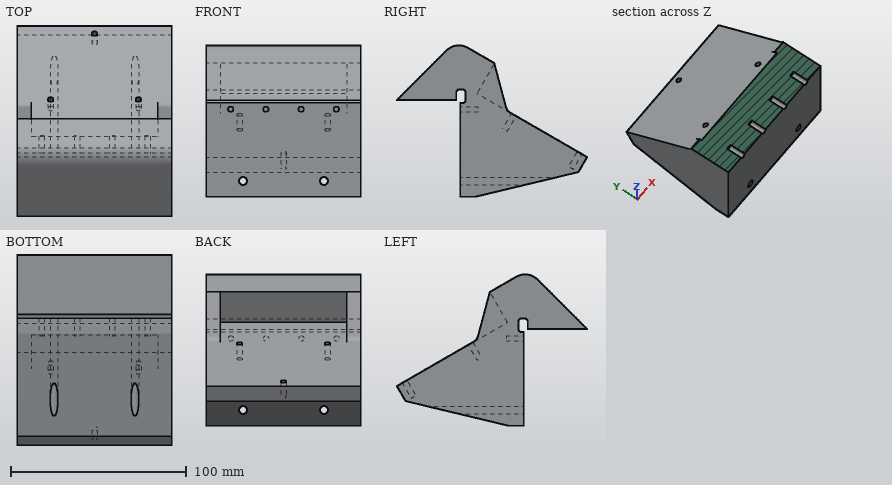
import cadquery as cq
import math

width = 88.0
overall_depth = 108.4
overall_height = 86.3
beak_reach = 36.1
beak_z = 55.0
base_back_y = 8.8
tail_y = overall_depth - beak_reach
tail_z = 22.6
tail_thickness = 10.0

rest_angle = math.radians(30)
stop_angle = math.radians(75)
beak_angle = math.radians(45)
stop_top_y = 19.4
stop_fillet = 5.0
crown_radius = 10.0

slot_back_y = 2.9
slot_front_y = -2.2
slot_bottom_z = 53.4
slot_top_z = 61.0
slot_corner_radius = 1.5

end_wall = 8.0

small_hole_diameter = 3.0
small_hole_depth = 10.0
front_hole_count = 4
front_hole_pitch = 20.0
front_hole_z = 49.8
mount_hole_diameter = 4.4
mount_hole_pitch = 46.0
mount_hole_z = 9.0
rest_hole_pitch = 50.0
tail_hole_y = 67.8
upper_hole_y = 30.3

crown_z = overall_height - crown_radius
beak_offset = crown_radius / math.cos(beak_angle)
crown_y = -beak_reach + (crown_z + beak_offset - beak_z) / math.tan(beak_angle)
crown_front = (
    crown_y - crown_radius * math.sin(beak_angle),
    crown_z + crown_radius * math.cos(beak_angle),
)
crown_back = (
    crown_y + crown_radius * math.sin(rest_angle),
    crown_z + crown_radius * math.cos(rest_angle),
)
stop_top_z = crown_back[1] - (stop_top_y - crown_back[0]) * math.tan(rest_angle)


def rest_z(y):
    """Height of the sloping rest plane at a given Y."""
    return tail_z + (tail_y - y) * math.tan(rest_angle)


stop_foot_y = stop_top_y + (stop_top_z - rest_z(stop_top_y)) / (
    math.tan(stop_angle) - math.tan(rest_angle)
)
stop_foot = (stop_foot_y, rest_z(stop_foot_y))
tail_bottom = (
    tail_y - tail_thickness * math.sin(rest_angle),
    tail_z - tail_thickness * math.cos(rest_angle),
)


def make_body():
    body = (
        cq.Workplane("YZ")
        .polyline([(0, 0), (0, beak_z), (-beak_reach, beak_z), crown_front])
        .threePointArc((crown_y, overall_height), crown_back)
        .lineTo(stop_top_y, stop_top_z)
        .lineTo(*stop_foot)
        .lineTo(tail_y, tail_z)
        .lineTo(*tail_bottom)
        .lineTo(base_back_y, 0)
        .close()
        .extrude(width / 2, both=True)
    )
    return body.edges(cq.NearestToPointSelector((0, *stop_foot))).fillet(stop_fillet)


def make_relief_slot():
    return (
        cq.Workplane("YZ")
        .center((slot_back_y + slot_front_y) / 2, (slot_bottom_z + slot_top_z) / 2)
        .rect(slot_back_y - slot_front_y, slot_top_z - slot_bottom_z)
        .extrude(width / 2, both=True)
        .edges("|X")
        .fillet(slot_corner_radius)
    )


def make_rest_pocket():
    drop = (stop_top_z - rest_z(stop_top_y)) * math.cos(rest_angle)
    inner_y = stop_top_y - drop * math.sin(rest_angle)
    return (
        cq.Workplane("YZ")
        .polyline([
            (stop_top_y, stop_top_z),
            (inner_y, rest_z(inner_y)),
            (tail_y, tail_z),
            (tail_y, stop_top_z),
        ])
        .close()
        .extrude(width / 2 - end_wall, both=True)
    )


def front_hole(x, z, diameter, depth):
    return cq.Workplane(
        cq.Solid.makeCylinder(diameter / 2, depth, cq.Vector(x, 0, z), cq.Vector(0, 1, 0))
    )


def rest_hole(x, y):
    into_rest = cq.Vector(0, -math.sin(rest_angle), -math.cos(rest_angle))
    start = cq.Vector(x, y, rest_z(y))
    return cq.Workplane(
        cq.Solid.makeCylinder(small_hole_diameter / 2, small_hole_depth, start, into_rest)
    )


result = make_body().cut(make_relief_slot()).cut(make_rest_pocket())

for index in range(front_hole_count):
    hole_x = (index - (front_hole_count - 1) / 2) * front_hole_pitch
    result = result.cut(front_hole(hole_x, front_hole_z, small_hole_diameter, small_hole_depth))

for side in (-1, 1):
    mount_x = side * mount_hole_pitch / 2
    result = result.cut(front_hole(mount_x, mount_hole_z, mount_hole_diameter, tail_y))
    result = result.cut(rest_hole(side * rest_hole_pitch / 2, upper_hole_y))

result = result.cut(rest_hole(0, tail_hole_y))